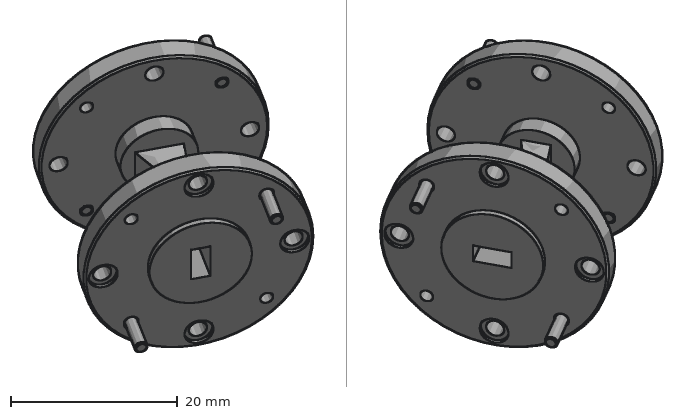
import cadquery as cq
import math

overall_length = 33.15
flange_diameter = 28.58
flange_outer_x = 11.9
flange_thickness = 3.25
flange_chamfer = 0.25
boss_diameter = 12.73
boss_outer_x = 12.7
hub_diameter = 9.68
hub_inner_x = 6.33

aperture_width = 4.77
aperture_height = 2.4
tube_wall = 0.65

bolt_circle_radius = 11.9
screw_hole_diameter = 2.25
counterbore_diameter = 3.58
counterbore_depth = 0.5
screw_angles = (0, 90, 180, 270)

pin_diameter = 1.6
pin_chamfer = 0.15
pin_hole_chamfer = 0.13
pin_angles = (45, 225)
mating_hole_angles = (135, 315)

flange_inner_x = flange_outer_x - flange_thickness
pin_length = overall_length / 2 - flange_inner_x


def cylinder(diameter, x_start, x_end):
    """Cylinder on the X axis between two X positions."""
    return cq.Workplane("YZ", origin=(x_start, 0, 0)).circle(diameter / 2).extrude(x_end - x_start)


def on_bolt_circle(body, angle):
    """Move a body from the X axis to the bolt circle; the angle runs from +Y towards +Z."""
    turn = math.radians(angle)
    offset = (0, bolt_circle_radius * math.cos(turn), bolt_circle_radius * math.sin(turn))
    return body.translate(offset)


def at_other_end(body):
    """Mirror image of a body at the +X end."""
    return body.mirror("YZ")


def twisted_bar(width, height):
    """Rectangular bar between the hubs whose section turns 90 degrees, with straight corner edges."""
    half_width = width / 2
    half_height = height / 2
    corners = [
        (-half_width, -half_height),
        (half_width, -half_height),
        (half_width, half_height),
        (-half_width, half_height),
    ]
    start = [cq.Vector(-hub_inner_x, y, z) for y, z in corners]
    end = [cq.Vector(hub_inner_x, z, -y) for y, z in corners]
    faces = [
        cq.Face.makeFromWires(cq.Wire.makePolygon(start, close=True)),
        cq.Face.makeFromWires(cq.Wire.makePolygon(end, close=True)),
    ]
    for i in range(len(corners)):
        start_edge = cq.Edge.makeLine(start[i - 1], start[i])
        end_edge = cq.Edge.makeLine(end[i - 1], end[i])
        faces.append(cq.Face.makeRuledSurface(start_edge, end_edge))
    return cq.Workplane(cq.Solid.makeSolid(cq.Shell.makeShell(faces)).fix())


def screw_hole():
    """Cutter for a screw hole, counterbored from the outer flange face."""
    hole = cylinder(screw_hole_diameter, -flange_outer_x, -flange_inner_x)
    counterbore = cylinder(counterbore_diameter, -flange_outer_x, -flange_outer_x + counterbore_depth)
    return hole.union(counterbore)


def pin_hole():
    """Cutter for a press-fit pin hole, chamfered at the outer flange face."""
    hole = cylinder(pin_diameter, -flange_outer_x, -flange_inner_x)
    pin_radius = pin_diameter / 2
    mouth = cq.Solid.makeCone(
        pin_radius + pin_hole_chamfer,
        pin_radius,
        pin_hole_chamfer,
        pnt=cq.Vector(-flange_outer_x, 0, 0),
        dir=cq.Vector(1, 0, 0),
    )
    return hole.union(cq.Workplane(mouth))


def make_flange():
    """Flange at the -X end with its boss, hub and bolt-circle holes, without the waveguide opening."""
    disc = cylinder(flange_diameter, -flange_outer_x, -flange_inner_x)
    disc = disc.faces("<X or >X").edges().chamfer(flange_chamfer)
    boss = cylinder(boss_diameter, -boss_outer_x, -flange_outer_x)
    hub = cylinder(hub_diameter, -flange_inner_x, -hub_inner_x)
    flange = disc.union(boss).union(hub)
    for angle in screw_angles:
        flange = flange.cut(on_bolt_circle(screw_hole(), angle))
    mating_hole = cylinder(pin_diameter, -flange_outer_x, -flange_inner_x)
    for angle in mating_hole_angles:
        flange = flange.cut(on_bolt_circle(mating_hole, angle))
    for angle in pin_angles:
        flange = flange.cut(on_bolt_circle(pin_hole(), angle))
    return flange


def make_waveguide():
    """Twisted waveguide with a flange at each end and a through opening."""
    flange = make_flange()
    tube = twisted_bar(aperture_width + 2 * tube_wall, aperture_height + 2 * tube_wall)
    opening_length = boss_outer_x - hub_inner_x
    wide_opening = cq.Workplane("XY").box(opening_length, aperture_width, aperture_height)
    tall_opening = cq.Workplane("XY").box(opening_length, aperture_height, aperture_width)
    opening_centre_x = (boss_outer_x + hub_inner_x) / 2
    return (
        tube.union(flange)
        .union(at_other_end(flange))
        .cut(twisted_bar(aperture_width, aperture_height))
        .cut(wide_opening.translate((-opening_centre_x, 0, 0)))
        .cut(tall_opening.translate((opening_centre_x, 0, 0)))
    )


def make_pin():
    """Alignment pin at the -X end, on the X axis, chamfered at both ends."""
    pin = cylinder(pin_diameter, -overall_length / 2, -overall_length / 2 + pin_length)
    return pin.faces("<X or >X").chamfer(pin_chamfer)


waveguide = make_waveguide()

pins = []
for angle in pin_angles:
    pin = on_bolt_circle(make_pin(), angle)
    pins.append(pin.val())
    pins.append(at_other_end(pin).val())

result = cq.Compound.makeCompound([waveguide.solids().val(), *pins])